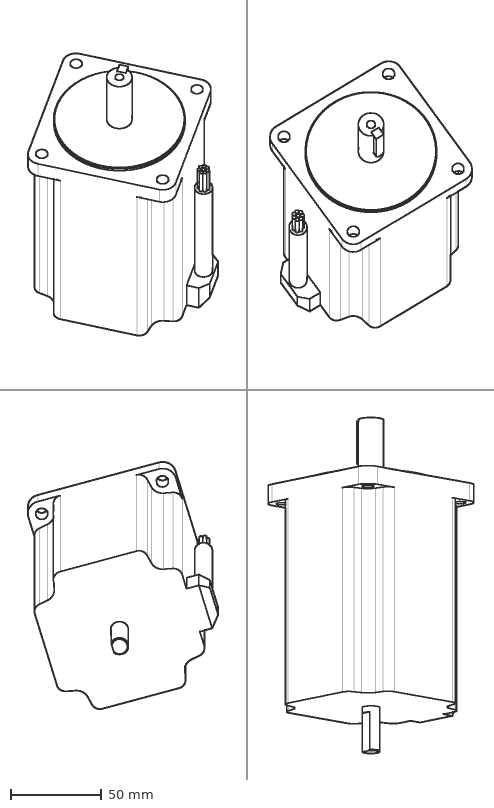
import cadquery as cq
import math

flange_width = 85.0
flange_thickness = 10.1
flange_corner_radius = 7.5
housing_length = 125.5
pilot_diameter = 73.0
pilot_height = 2.0
pilot_chamfer = 0.5

bolt_spacing = 69.5
bolt_diameter = 6.5

relief_radius = 7.0
lip_radius = 5.0
lip_start = 20.5

total_length = 187.5
rear_shaft_length = 25.1
rear_shaft_diameter = 10.0
rear_shaft_chamfer = 0.5
rear_flat_offset = 4.0
rear_flat_gap = 3.4
shaft_diameter = 14.0
shaft_hole_diameter = 4.7
shaft_hole_depth = 12.5
drill_point_angle = 118

key_size = 5.0
key_length = 25.0
key_bottom = 4.0

outlet_depth = 12.0
outlet_width = 26.6
outlet_height = 16.5
outlet_chamfer = 4.9
cable_diameter = 10.0
cable_offset = 6.0
cable_top = 85.5
wire_top = 100.5
wire_count = 7
wire_radius = 1.03
wire_ring_radius = 2.5
wire_ring_turn = -6

half_width = flange_width / 2
bolt_position = bolt_spacing / 2
flange_bottom = housing_length - flange_thickness
shaft_top = total_length - rear_shaft_length
cable_x = half_width + cable_offset


def housing_outline():
    """Square outline with a rounded, concave relief at each corner."""
    lip_x = half_width - lip_radius
    lip_y = half_width - lip_start
    center_dx = bolt_position - lip_x
    center_dy = bolt_position - lip_y
    center_distance = math.hypot(center_dx, center_dy)
    normal_angle = math.atan2(center_dy, center_dx) - math.acos(
        (lip_radius + relief_radius) / center_distance
    )

    def around(x, y, radius, angle):
        return (x + radius * math.cos(angle), y + radius * math.sin(angle))

    lip_begin = (half_width, lip_y)
    lip_middle = around(lip_x, lip_y, lip_radius, normal_angle / 2)
    lip_end = around(lip_x, lip_y, lip_radius, normal_angle)
    relief_begin = around(bolt_position, bolt_position, relief_radius, normal_angle + math.pi)
    relief_middle = around(bolt_position, bolt_position, relief_radius, math.radians(225))

    def turned(point, quarter):
        x, y = point
        for _ in range(quarter):
            x, y = -y, x
        return (x, y)

    def mirrored(point):
        return (point[1], point[0])

    outline = cq.Workplane("XY").moveTo(half_width, -lip_y)
    for quarter in range(4):
        outline = (
            outline.lineTo(*turned(lip_begin, quarter))
            .threePointArc(turned(lip_middle, quarter), turned(lip_end, quarter))
            .lineTo(*turned(relief_begin, quarter))
            .threePointArc(turned(relief_middle, quarter), turned(mirrored(relief_begin), quarter))
            .lineTo(*turned(mirrored(lip_end), quarter))
            .threePointArc(turned(mirrored(lip_middle), quarter), turned(mirrored(lip_begin), quarter))
        )
    return outline.close()


def make_housing():
    """Extruded housing with its mounting flange and pilot."""
    housing = housing_outline().extrude(flange_bottom)
    flange = (
        cq.Workplane("XY", origin=(0, 0, flange_bottom))
        .rect(flange_width, flange_width)
        .extrude(flange_thickness)
        .edges("|Z")
        .fillet(flange_corner_radius)
    )
    bolt_holes = (
        cq.Workplane("XY", origin=(0, 0, flange_bottom))
        .rect(bolt_spacing, bolt_spacing, forConstruction=True)
        .vertices()
        .circle(bolt_diameter / 2)
        .extrude(flange_thickness)
    )
    pilot = (
        cq.Workplane("XY", origin=(0, 0, housing_length))
        .circle(pilot_diameter / 2)
        .extrude(pilot_height)
        .faces(">Z")
        .chamfer(pilot_chamfer)
    )
    return housing.union(flange.cut(bolt_holes)).union(pilot)


def make_front_shaft():
    """Output shaft with a drilled center hole."""
    shaft = (
        cq.Workplane("XY", origin=(0, 0, housing_length))
        .circle(shaft_diameter / 2)
        .extrude(shaft_top - housing_length)
    )
    hole_radius = shaft_hole_diameter / 2
    hole_bottom = shaft_top - shaft_hole_depth
    point_depth = hole_radius / math.tan(math.radians(drill_point_angle / 2))
    hole = (
        cq.Workplane("XZ")
        .moveTo(0, shaft_top)
        .lineTo(hole_radius, shaft_top)
        .lineTo(hole_radius, hole_bottom)
        .lineTo(0, hole_bottom - point_depth)
        .close()
        .revolve(360, (0, 0, 0), (0, 1, 0))
    )
    return shaft.cut(hole)


def make_rear_shaft():
    """Rear shaft with a flat on its -X side."""
    shaft = (
        cq.Workplane("XY")
        .circle(rear_shaft_diameter / 2)
        .extrude(-rear_shaft_length)
        .faces("<Z")
        .chamfer(rear_shaft_chamfer)
    )
    flat_cutter = cq.Workplane("XY").box(
        rear_shaft_diameter, rear_shaft_diameter, rear_shaft_length, centered=(False, True, False)
    )
    flat_corner = (-rear_flat_offset - rear_shaft_diameter, 0, -rear_flat_gap - rear_shaft_length)
    return shaft.cut(flat_cutter.translate(flat_corner))


def make_cable_outlet():
    """Chamfered outlet block on the +X side with the cable and its bare wires."""
    block = (
        cq.Workplane("XY")
        .box(outlet_depth, outlet_width, outlet_height, centered=(False, True, False))
        .translate((half_width, 0, 0))
    )
    block = block.faces(">X").edges("|Z or <Z").chamfer(outlet_chamfer)
    cable = (
        cq.Workplane("XY", origin=(cable_x, 0, outlet_height))
        .circle(cable_diameter / 2)
        .extrude(cable_top - outlet_height)
    )
    wire_length = wire_top - cable_top
    wire_plane = cq.Workplane("XY", origin=(cable_x, 0, cable_top))
    outlet = block.union(cable)
    outlet = outlet.union(wire_plane.circle(wire_radius).extrude(wire_length))
    ring = wire_plane.polarArray(wire_ring_radius, wire_ring_turn, 360, wire_count)
    return outlet.union(ring.circle(wire_radius).extrude(wire_length))


def make_key():
    """Square key, flush with the shaft end and rounded at its inner end."""
    key_end = shaft_top - key_length
    half = key_size / 2
    return (
        cq.Workplane("XZ", origin=(0, key_bottom, 0))
        .moveTo(-half, shaft_top)
        .lineTo(-half, key_end + half)
        .threePointArc((0, key_end), (half, key_end + half))
        .lineTo(half, shaft_top)
        .close()
        .extrude(-key_size)
    )


key = make_key()
motor = make_housing().union(make_front_shaft()).union(make_rear_shaft()).union(make_cable_outlet())
motor = motor.cut(key)

result = cq.Compound.makeCompound([motor.val(), key.val()])